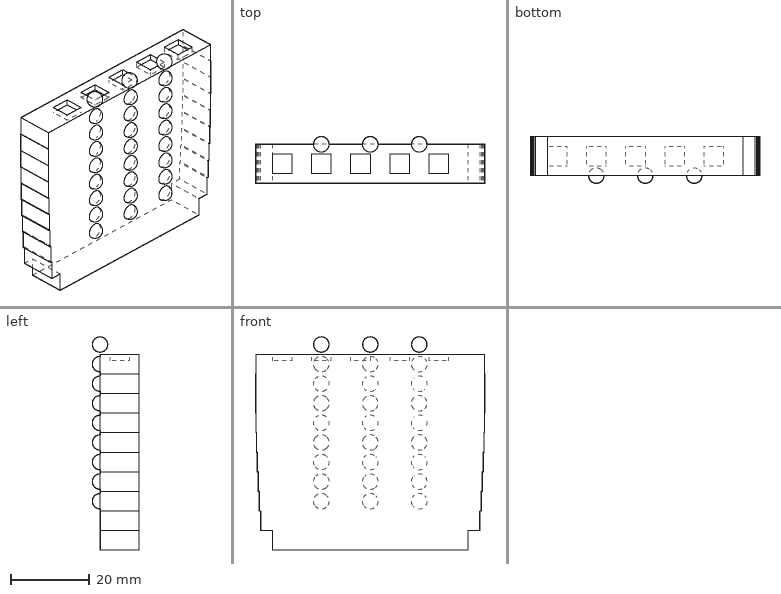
import cadquery as cq

housing_height = 50.0
housing_thickness = 10.0
layer_count = 10
layer_height = housing_height / layer_count
widest_width = 58.55
widest_layer = 7
bulge_peak = 7.4
side_taper = 0.032
foot_width = 50.0

pocket_count = 5
pocket_pitch = foot_width / pocket_count
pocket_size = pocket_pitch / 2
pocket_depth = 1.5

ball_radius = 2.0
ball_column_count = 3
ball_column_pitch = foot_width / (ball_column_count + 1)
lowest_ball_layer = 2
free_ball_layer = layer_count


def side_inset(layer):
    """Inset of one side of a layer from the peak of the bulge curve."""
    return side_taper * (layer - bulge_peak) ** 2


def layer_width(layer):
    """Width of a layer along X; the sides bulge as a stepped parabola."""
    if layer == 0:
        return foot_width
    return widest_width - 2 * (side_inset(layer) - side_inset(widest_layer))


def make_layer(layer):
    """One rectangular layer, with its front face at Y = 0."""
    return (
        cq.Workplane("XY")
        .box(layer_width(layer), housing_thickness, layer_height, centered=(True, False, False))
        .translate((0, 0, layer * layer_height))
    )


def make_pocket(index):
    """Cutter for one blind square pocket in the top face."""
    left_x = -foot_width / 2 + index * pocket_pitch
    return (
        cq.Workplane("XY")
        .box(pocket_size, pocket_size, pocket_depth, centered=(False, True, False))
        .translate((left_x, housing_thickness / 2, housing_height - pocket_depth))
    )


def make_ball(column, layer):
    """Ball centred on the plane of the back face, at mid-height of a layer."""
    center_x = (column - (ball_column_count - 1) / 2) * ball_column_pitch
    center_z = (layer + 0.5) * layer_height
    return cq.Workplane("XY").sphere(ball_radius).translate((center_x, housing_thickness, center_z))


def make_housing():
    """Layer stack with top pockets and half-ball bumps on the back face."""
    housing = make_layer(0)
    for layer in range(1, layer_count):
        housing = housing.union(make_layer(layer))
    for index in range(pocket_count):
        housing = housing.cut(make_pocket(index))
    for column in range(ball_column_count):
        for layer in range(lowest_ball_layer, layer_count):
            housing = housing.union(make_ball(column, layer))
    return housing


housing = make_housing()
free_balls = [make_ball(column, free_ball_layer) for column in range(ball_column_count)]

result = cq.Compound.makeCompound([*housing.solids().vals(), *[ball.val() for ball in free_balls]])